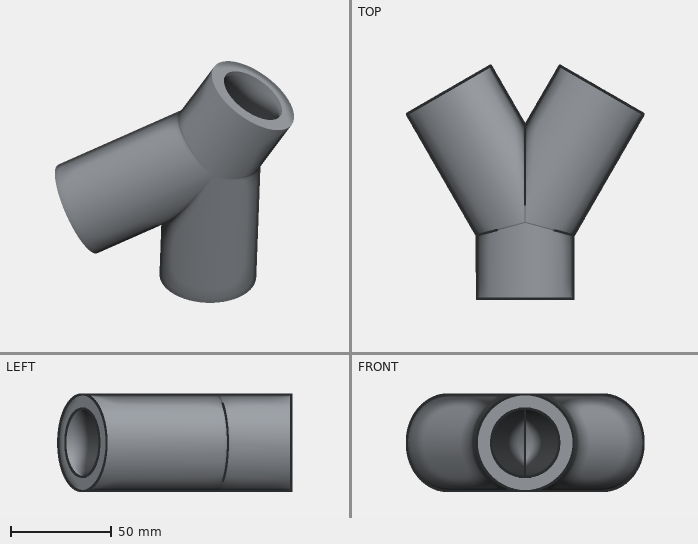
import cadquery as cq
import math

overall_width = 118.0
overall_depth = 116.1
outer_diameter = 48.3
bore_diameter = 34.0
branch_angle = 30.0

outer_radius = outer_diameter / 2
sin_branch = math.sin(math.radians(branch_angle))
cos_branch = math.cos(math.radians(branch_angle))

branch_length = (overall_width / 2 - outer_radius * cos_branch) / sin_branch
branch_reach = branch_length * cos_branch + outer_radius * sin_branch
stem_length = overall_depth - branch_reach

origin = cq.Vector(0, 0, 0)
tubes = [
    (stem_length, cq.Vector(0, -1, 0)),
    (branch_length, cq.Vector(-sin_branch, cos_branch, 0)),
    (branch_length, cq.Vector(sin_branch, cos_branch, 0)),
]


def joined_cylinders(diameter):
    """Union of one cylinder per tube, each running from the origin to the tube end."""
    cylinders = [
        cq.Workplane(obj=cq.Solid.makeCylinder(diameter / 2, length, origin, direction))
        for length, direction in tubes
    ]
    stem, left_branch, right_branch = cylinders
    return stem.union(left_branch).union(right_branch)


result = joined_cylinders(outer_diameter).cut(joined_cylinders(bore_diameter))